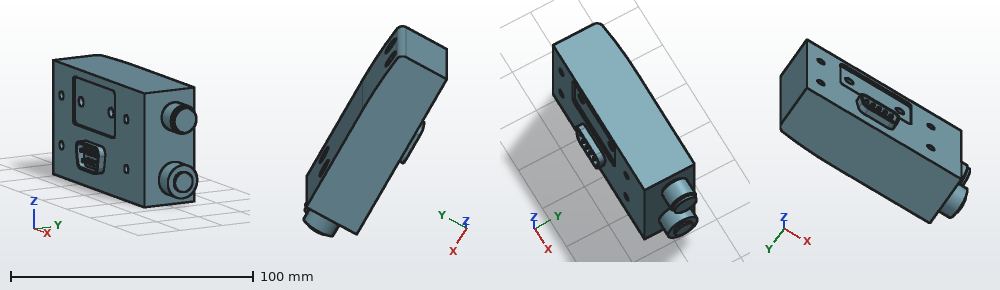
import cadquery as cq
import math

BODY_LENGTH = 76.1
BODY_DEPTH = 23.9
BODY_HEIGHT = 48.1
DOME_RADIUS = 199.75
DOME_RUN = 28.4
CORNER_RADIUS = 3.0
BACK_EDGE_RADIUS = 0.4

CENTRE_X = 34.0
MOUNT_PITCH_X = 54.15
MOUNT_PITCH_Z = 21.0
UPPER_HOLE_Z = 34.4
FRONT_BORE_DIAMETER = 3.4
FRONT_BORE_DEPTH = 8.6
THROUGH_DIAMETER = 2.8
HEAD_DIAMETER = 7.5
HEAD_DEPTH = 4.3

RECESS_LENGTH = 35.1
RECESS_HEIGHT = 20.15
RECESS_DEPTH = 1.0
RECESS_CORNER_RADIUS = 2.0
RECESS_HOLE_DIAMETER = 4.0
RECESS_HOLE_PITCH = 25
RECESS_HOLE_DEPTH = 8.6

SHELL_TOP_WIDTH = 20.3
SHELL_SIDE_ANGLE = 10
SHELL_HEIGHT = 11.45
SHELL_CENTRE_Z = 13.4
SHELL_LENGTH = 3.1
SHELL_CORNER_RADIUS = 3.1
SHELL_WALL = 0.8
PIN_DIAMETER = 1.5
PIN_PITCH = 3.0
PIN_ROW_SPACING = 4.05
PIN_TIP_RECESS = 0.4
TOP_ROW_PINS = 5

CONNECTOR_Y = 13.95
UPPER_CONNECTOR_Z = 37.1
UPPER_NECK_DIAMETER = 11.4
UPPER_NECK_LENGTH = 0.5
UPPER_BARREL_DIAMETER = 12.0
UPPER_BARREL_END = 8.1
UPPER_CHAMFER_END = 8.6
UPPER_TIP_DIAMETER = 10.4
UPPER_LENGTH = 10.0
LOWER_CONNECTOR_Z = 10.8
LOWER_BARREL_DIAMETER = 14.0
LOWER_BARREL_LENGTH = 7.5
LOWER_TIP_DIAMETER = 8.35
LOWER_LENGTH = 8.6


def cylinder_y(x, y, z, diameter, length):
    """Cylinder running from y toward +Y."""
    axis = cq.Vector(0, 1, 0)
    return cq.Workplane(cq.Solid.makeCylinder(diameter / 2, length, cq.Vector(x, y, z), axis))


def dome_drop(x):
    """How far the domed back face has fallen below its flat part at a given x."""
    run = DOME_RUN - x
    return DOME_RADIUS - math.sqrt(DOME_RADIUS**2 - run**2)


def make_body():
    dome_middle_x = DOME_RUN / 2
    return (
        cq.Workplane("XY")
        .lineTo(BODY_LENGTH, 0)
        .lineTo(BODY_LENGTH, BODY_DEPTH)
        .lineTo(DOME_RUN, BODY_DEPTH)
        .threePointArc(
            (dome_middle_x, BODY_DEPTH - dome_drop(dome_middle_x)),
            (0, BODY_DEPTH - dome_drop(0)),
        )
        .close()
        .extrude(BODY_HEIGHT)
        .edges("|Z").edges("<X").edges(">Y").fillet(CORNER_RADIUS)
        .edges("|Z").edges(">X").edges(">Y").fillet(BACK_EDGE_RADIUS)
    )


def cut_mounting_holes(body):
    for side in (-1, 1):
        for z in (UPPER_HOLE_Z, UPPER_HOLE_Z - MOUNT_PITCH_Z):
            x = CENTRE_X + side * MOUNT_PITCH_X / 2
            body = body.cut(cylinder_y(x, 0, z, FRONT_BORE_DIAMETER, FRONT_BORE_DEPTH))
            body = body.cut(cylinder_y(x, 0, z, THROUGH_DIAMETER, BODY_DEPTH))
            body = body.cut(cylinder_y(x, BODY_DEPTH - HEAD_DEPTH, z, HEAD_DIAMETER, HEAD_DEPTH))
    return body


def cut_recess(body):
    recess = (
        cq.Workplane("XZ", origin=(CENTRE_X, 0, UPPER_HOLE_Z))
        .rect(RECESS_LENGTH, RECESS_HEIGHT)
        .extrude(-RECESS_DEPTH)
        .edges("|Y").fillet(RECESS_CORNER_RADIUS)
    )
    body = body.cut(recess)
    for side in (-1, 1):
        x = CENTRE_X + side * RECESS_HOLE_PITCH / 2
        body = body.cut(
            cylinder_y(x, RECESS_DEPTH, UPPER_HOLE_Z, RECESS_HOLE_DIAMETER, RECESS_HOLE_DEPTH)
        )
    return body


def plug_block(inset):
    """Rounded trapezoid prism, with the plug outline moved inward by inset."""
    angle = math.radians(SHELL_SIDE_ANGLE)
    half_height = SHELL_HEIGHT / 2
    half_top = SHELL_TOP_WIDTH / 2
    half_bottom = half_top - SHELL_HEIGHT * math.tan(angle)
    outline = (
        cq.Workplane("XZ", origin=(CENTRE_X, 0, SHELL_CENTRE_Z))
        .polyline([
            (-half_top, half_height),
            (half_top, half_height),
            (half_bottom, -half_height),
            (-half_bottom, -half_height),
        ])
        .close()
    )
    if inset:
        outline = outline.offset2D(-inset)
    return outline.extrude(SHELL_LENGTH).edges("|Y").fillet(SHELL_CORNER_RADIUS - inset)


def add_plug(body):
    shell = plug_block(0).cut(plug_block(SHELL_WALL))
    body = body.union(shell)
    pin_tip_y = PIN_TIP_RECESS - SHELL_LENGTH
    pin_length = -pin_tip_y
    for row, row_side in enumerate((1, -1)):
        pin_count = TOP_ROW_PINS - row
        z = SHELL_CENTRE_Z + row_side * PIN_ROW_SPACING / 2
        for pin in range(pin_count):
            x = CENTRE_X + (pin - (pin_count - 1) / 2) * PIN_PITCH
            body = body.union(cylinder_y(x, pin_tip_y, z, PIN_DIAMETER, pin_length))
    return body


def round_connector(z, profile):
    """Solid of revolution about an X axis, from (distance, diameter) points."""
    outline = [(0, 0)]
    outline += [(distance, diameter / 2) for distance, diameter in profile]
    outline += [(profile[-1][0], 0)]
    return (
        cq.Workplane("XY", origin=(BODY_LENGTH, CONNECTOR_Y, z))
        .polyline(outline)
        .close()
        .revolve(360, (0, 0, 0), (1, 0, 0))
    )


upper_connector = round_connector(UPPER_CONNECTOR_Z, [
    (0, UPPER_NECK_DIAMETER),
    (UPPER_NECK_LENGTH, UPPER_BARREL_DIAMETER),
    (UPPER_BARREL_END, UPPER_BARREL_DIAMETER),
    (UPPER_CHAMFER_END, UPPER_TIP_DIAMETER),
    (UPPER_LENGTH, UPPER_TIP_DIAMETER),
])
lower_connector = round_connector(LOWER_CONNECTOR_Z, [
    (0, LOWER_BARREL_DIAMETER),
    (LOWER_BARREL_LENGTH, LOWER_BARREL_DIAMETER),
    (LOWER_BARREL_LENGTH, LOWER_TIP_DIAMETER),
    (LOWER_LENGTH, LOWER_TIP_DIAMETER),
])

result = add_plug(cut_recess(cut_mounting_holes(make_body())))
result = result.union(upper_connector).union(lower_connector)